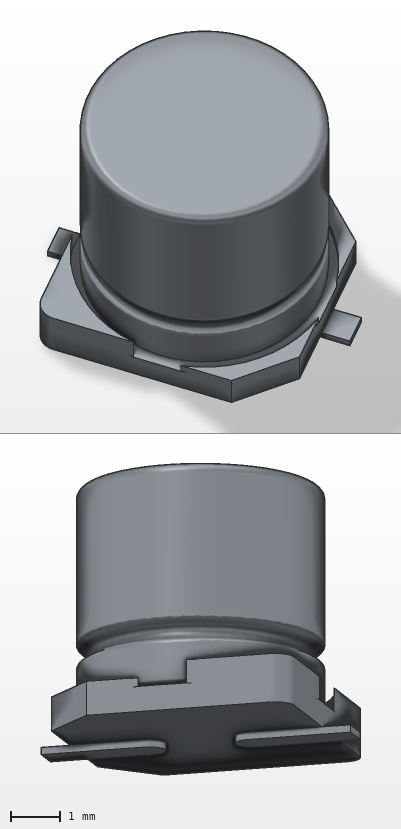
import cadquery as cq

overall_length = 6.5
overall_height = 5.3

base_width = 5.3
base_height = 1.0
corner_chamfer = 1.06
corner_radius = 0.4
low_corner_drop = 0.3
recess_radius = 2.7
recess_floor_z = 0.67

lead_width = 0.65
lead_thickness = 0.15
lead_gap = 1.495

can_diameter = 5.0
can_top_radius = 0.2
can_bottom_radius = 0.17
groove_z = 1.845
groove_radius = 0.2
groove_lip_radius = 0.1

can_radius = can_diameter / 2
base_top_z = lead_thickness + base_height


def make_base():
    """Square base with two chamfered low corners and a round can seat."""
    base = cq.Workplane("XY").workplane(offset=lead_thickness)
    base = base.rect(base_width, base_width).extrude(base_height)
    base = base.edges("|Z and >X").chamfer(corner_chamfer)
    base = base.edges("|Z and <X").fillet(corner_radius)

    low_side = (
        cq.Workplane("XY")
        .workplane(offset=base_top_z - low_corner_drop)
        .center(base_width / 4, 0)
        .rect(base_width / 2, base_width)
        .extrude(low_corner_drop)
    )
    seat = (
        cq.Workplane("XY")
        .workplane(offset=recess_floor_z)
        .circle(recess_radius)
        .extrude(base_top_z - recess_floor_z)
    )
    return base.cut(low_side).cut(seat)


def make_can():
    """Round can with rounded rims and a crimp groove near its bottom."""
    can = cq.Workplane("XY").workplane(offset=recess_floor_z)
    can = can.circle(can_radius).extrude(overall_height - recess_floor_z)
    can = can.faces(">Z").edges().fillet(can_top_radius)
    can = can.faces("<Z").edges().fillet(can_bottom_radius)

    groove = cq.Workplane(cq.Solid.makeTorus(can_radius, groove_radius, cq.Vector(0, 0, groove_z)))
    can = can.cut(groove)
    lip_zone = cq.selectors.BoxSelector(
        (-can_diameter, -can_diameter, groove_z - 2 * groove_radius),
        (can_diameter, can_diameter, groove_z + 2 * groove_radius),
        boundingbox=True,
    )
    return can.edges(lip_zone).edges("%CIRCLE").fillet(groove_lip_radius)


def make_lead():
    """Flat lead on the +X side with a half-round inner end."""
    outer_x = overall_length / 2
    inner_x = lead_gap / 2
    half_width = lead_width / 2
    return (
        cq.Workplane("XY")
        .moveTo(outer_x, -half_width)
        .lineTo(outer_x, half_width)
        .lineTo(inner_x + half_width, half_width)
        .threePointArc((inner_x, 0), (inner_x + half_width, -half_width))
        .close()
        .extrude(lead_thickness)
    )


lead = make_lead()
result = make_base().union(make_can()).union(lead).union(lead.mirror("YZ"))